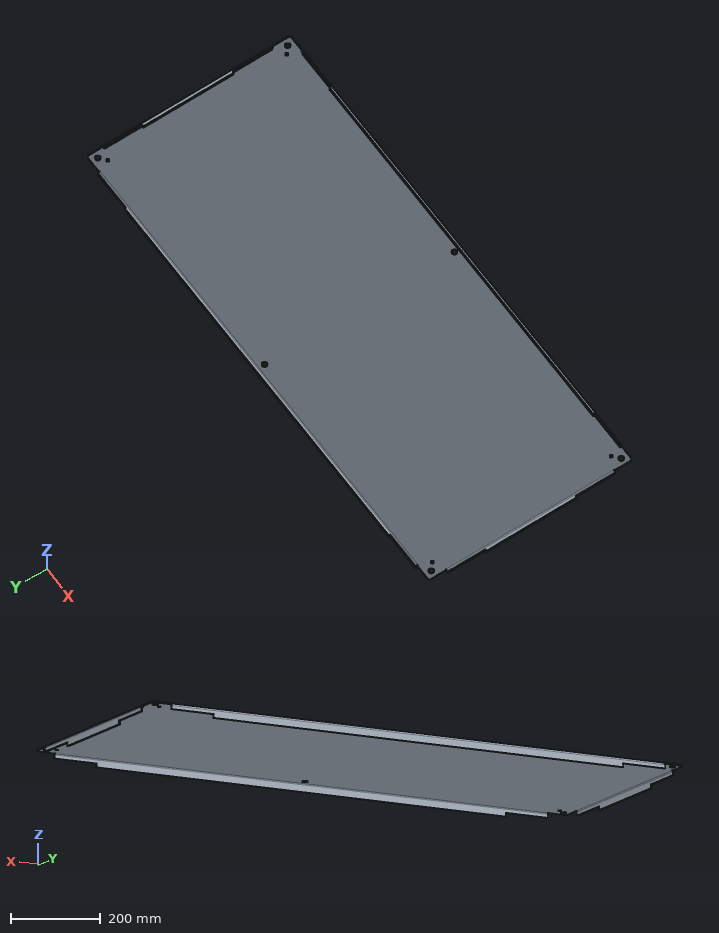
import cadquery as cq
import math

length = 1345.0
width = 557.0
height = 23.0

sheet = 3.4
bend_radius = 5.8
corner_setback = 3.0
corner_radius = 7.0

tab_drop = 8.7
shallow_depth = height - tab_drop
long_strip = 1244.0
long_tab = 1033.0
short_strip = 455.0
short_tab = 245.0

mount_diameter = 12.6
mount_x = 652.0
mount_y = 257.0
pin_diameter = 7.1
pin_x = 635.0
pin_y = 242.0


def fold_profile(side_offset, depth):
    """Section of a folded side on the YZ plane: flat, bend and vertical leg."""
    inside_radius = bend_radius - sheet
    bend_start = side_offset - bend_radius
    diagonal = math.cos(math.radians(45))
    outer_mid = (bend_start + bend_radius * diagonal, bend_radius * (diagonal - 1))
    inner_mid = (bend_start + inside_radius * diagonal, inside_radius * diagonal - bend_radius)
    return (
        cq.Workplane("YZ")
        .moveTo(bend_start, 0)
        .threePointArc(outer_mid, (side_offset, -bend_radius))
        .lineTo(side_offset, -depth)
        .lineTo(side_offset - sheet, -depth)
        .lineTo(side_offset - sheet, -bend_radius)
        .threePointArc(inner_mid, (bend_start, -sheet))
        .close()
    )


def folded_side(side_offset, strip_length, tab_length):
    """Folded side facing +Y, centred on X."""
    strip = fold_profile(side_offset, shallow_depth).extrude(strip_length / 2, both=True)
    tab = fold_profile(side_offset, height).extrude(tab_length / 2, both=True)
    return strip.union(tab)


def flat_sheet():
    """Flat panel with rounded corners, cut back along each fold to where the bend starts."""
    flat = (
        cq.Workplane("XY")
        .rect(length - 2 * corner_setback, width - 2 * corner_setback)
        .extrude(-sheet)
        .edges("|Z")
        .fillet(corner_radius)
    )
    for side in (-1, 1):
        long_gap = cq.Workplane("XY").box(long_strip, 2 * bend_radius, 2 * sheet)
        flat = flat.cut(long_gap.translate((0, side * width / 2, 0)))
        short_gap = cq.Workplane("XY").box(2 * bend_radius, short_strip, 2 * sheet)
        flat = flat.cut(short_gap.translate((side * length / 2, 0, 0)))
    return flat


def drill(body, diameter, centres):
    """Round holes through the flat sheet."""
    holes = cq.Workplane("XY").pushPoints(centres).circle(diameter / 2).extrude(-sheet)
    return body.cut(holes)


long_side = folded_side(width / 2, long_strip, long_tab)
short_side = folded_side(length / 2, short_strip, short_tab)

panel = flat_sheet()
for angle in (0, 180):
    panel = panel.union(long_side.rotate((0, 0, 0), (0, 0, 1), angle))
    panel = panel.union(short_side.rotate((0, 0, 0), (0, 0, 1), angle + 90))

mount_centres = [(x, y) for x in (-mount_x, 0, mount_x) for y in (-mount_y, mount_y)]
pin_centres = [(x, y) for x in (-pin_x, pin_x) for y in (-pin_y, pin_y)]
panel = drill(panel, mount_diameter, mount_centres)
panel = drill(panel, pin_diameter, pin_centres)

result = panel